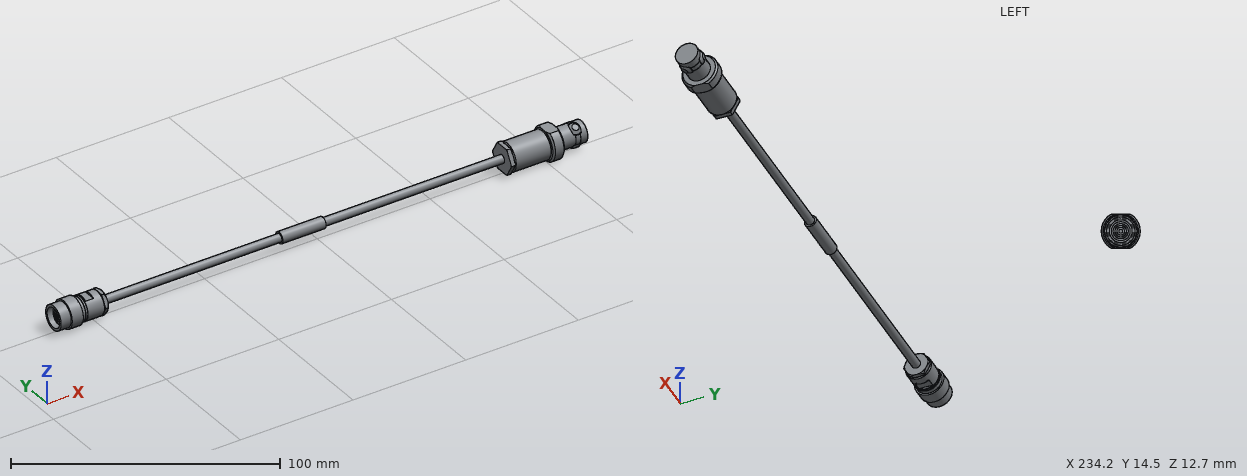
import cadquery as cq
import math

TOTAL_LENGTH = 234.2

CABLE_DIAMETER = 3.5
SLEEVE_DIAMETER = 5.0
SLEEVE_START = 100.2
SLEEVE_LENGTH = 19.2

PLUG_DIAMETER = 10.5
SHELL_BORE = 8.5
SHELL_END = 12.0
GRIP_DIAMETER = 12.0
GRIP_START = 4.5
GRIP_END = 9.4
GROOVE_WIDTH = 1.0
GROOVE_DEPTH = 0.2

PLUG_FACE = 4.7
PLUG_BODY_END = 19.7
PLUG_BODY_CHAMFER = 0.5
FLAT_START = 12.5
FLAT_LENGTH = 3.5
FLAT_SPACING = 9.0
CONTACT_FRONT = 2.0
CONTACT_SLEEVE_OUTER = 7.0
CONTACT_SLEEVE_INNER = 5.6
INSULATOR_OUTER = 4.2
INSULATOR_INNER = 2.8
PIN_DIAMETER = 1.5

PLUG_NUT_END = 21.3
PLUG_NUT_FLATS = 9.4
PLUG_NUT_CHAMFER = 0.7

BACK_NUT_START = 199.0
BACK_NUT_FLATS = 11.2
BACK_NUT_CHAMFER = 0.2
HOUSING_START = 201.0
HOUSING_DIAMETER = 12.2
HOUSING_CHAMFER = 0.5

COLLAR_START = 217.3
COLLAR_END = 222.5
COLLAR_DIAMETER = 14.5
COLLAR_CHAMFER = 0.7
COLLAR_FLAT_WIDTH = 7.0
COLLAR_FLAT_SPACING = math.sqrt(COLLAR_DIAMETER**2 - COLLAR_FLAT_WIDTH**2)
BARREL_DIAMETER = 9.1
BAND_DIAMETER = 9.4
BAND_WIDTH = 2.0
LUG_X = 230.0
LUG_COUNT = 3
LUG_BASE_DIAMETER = 5.6
LUG_TIP_DIAMETER = 2.8
LUG_BASE_RADIUS = 4.0
LUG_TIP_RADIUS = 5.2


def cross_section(x):
    """Workplane across the cable axis at x, with its first direction pointing up."""
    return cq.Workplane(cq.Plane(origin=(x, 0, 0), xDir=(0, 0, 1), normal=(1, 0, 0)))


def cylinder(start, end, diameter):
    """Solid round bar along X."""
    return cross_section(start).circle(diameter / 2).extrude(end - start)


def tube(start, end, outer, inner):
    """Round bar along X with a through bore."""
    return cross_section(start).circle(outer / 2).circle(inner / 2).extrude(end - start)


def flat_sided(bar, start, end, spacing):
    """Trim a round bar between start and end to two flats facing +Z and -Z."""
    block_size = COLLAR_DIAMETER
    block = cq.Workplane("XY").box(end - start, block_size, block_size)
    for side in (1, -1):
        bar = bar.cut(block.translate(((start + end) / 2, 0, side * (spacing + block_size) / 2)))
    return bar


def hexagonal_nut(start, end, across_flats, chamfer, chamfered_ends):
    """Nut bored for the cable, with flats facing +Z and -Z and its corners turned down."""
    across_corners = across_flats / math.cos(math.pi / 6)
    hexagon = cross_section(start).polygon(6, across_corners).extrude(end - start)
    hexagon = hexagon.rotate((0, 0, 0), (1, 0, 0), 90)
    turned_bar = cylinder(start, end, across_corners).faces(chamfered_ends).chamfer(chamfer)
    return hexagon.intersect(turned_bar).cut(cylinder(start, end, CABLE_DIAMETER))


def make_coupling_shell():
    shell = cylinder(0, SHELL_END - GROOVE_WIDTH, PLUG_DIAMETER)
    grip = cylinder(GRIP_START, GRIP_END, GRIP_DIAMETER)
    groove_floor = cylinder(0, SHELL_END, PLUG_DIAMETER - 2 * GROOVE_DEPTH)
    return shell.union(grip).union(groove_floor).cut(cylinder(0, SHELL_END, SHELL_BORE))


def make_plug_body():
    body = cylinder(SHELL_END, PLUG_BODY_END, PLUG_DIAMETER).faces(">X").chamfer(PLUG_BODY_CHAMFER)
    body = flat_sided(body, FLAT_START, FLAT_START + FLAT_LENGTH, FLAT_SPACING)
    core = cylinder(PLUG_FACE, SHELL_END, SHELL_BORE)
    contact_sleeve = tube(CONTACT_FRONT, PLUG_FACE, CONTACT_SLEEVE_OUTER, CONTACT_SLEEVE_INNER)
    insulator = tube(CONTACT_FRONT, PLUG_FACE, INSULATOR_OUTER, INSULATOR_INNER)
    pin = cylinder(CONTACT_FRONT, PLUG_FACE, PIN_DIAMETER)
    return body.union(core).union(contact_sleeve).union(insulator).union(pin)


def make_plug_nut():
    return hexagonal_nut(PLUG_BODY_END, PLUG_NUT_END, PLUG_NUT_FLATS, PLUG_NUT_CHAMFER, ">X")


def make_cable():
    return cylinder(PLUG_BODY_END, HOUSING_START, CABLE_DIAMETER)


def make_marker_sleeve():
    return tube(SLEEVE_START, SLEEVE_START + SLEEVE_LENGTH, SLEEVE_DIAMETER, CABLE_DIAMETER)


def make_back_nut():
    return hexagonal_nut(BACK_NUT_START, HOUSING_START, BACK_NUT_FLATS, BACK_NUT_CHAMFER, "<X or >X")


def make_housing():
    return cylinder(HOUSING_START, COLLAR_START, HOUSING_DIAMETER).faces("<X or >X").chamfer(HOUSING_CHAMFER)


def make_lug(angle):
    """Tapered bayonet lug pointing out of the barrel, turned about X from the +Y direction."""
    base = cq.Workplane("XZ", origin=(LUG_X, LUG_BASE_RADIUS, 0)).circle(LUG_BASE_DIAMETER / 2)
    tip = base.workplane(offset=LUG_BASE_RADIUS - LUG_TIP_RADIUS).circle(LUG_TIP_DIAMETER / 2)
    return tip.loft(ruled=True).rotate((0, 0, 0), (1, 0, 0), angle)


def make_receptacle():
    collar = cylinder(COLLAR_START, COLLAR_END, COLLAR_DIAMETER).faces("<X or >X").chamfer(COLLAR_CHAMFER)
    collar = flat_sided(collar, COLLAR_START, COLLAR_END, COLLAR_FLAT_SPACING)
    barrel = cylinder(COLLAR_END, TOTAL_LENGTH, BARREL_DIAMETER)
    band = cylinder(LUG_X - BAND_WIDTH / 2, LUG_X + BAND_WIDTH / 2, BAND_DIAMETER)
    receptacle = collar.union(barrel).union(band)
    for index in range(LUG_COUNT):
        receptacle = receptacle.union(make_lug(index * 360 / LUG_COUNT))
    return receptacle


result = cq.Compound.makeCompound([
    make_coupling_shell().val(),
    make_plug_body().val(),
    make_plug_nut().val(),
    make_cable().val(),
    make_marker_sleeve().val(),
    make_back_nut().val(),
    make_housing().val(),
    make_receptacle().val(),
])